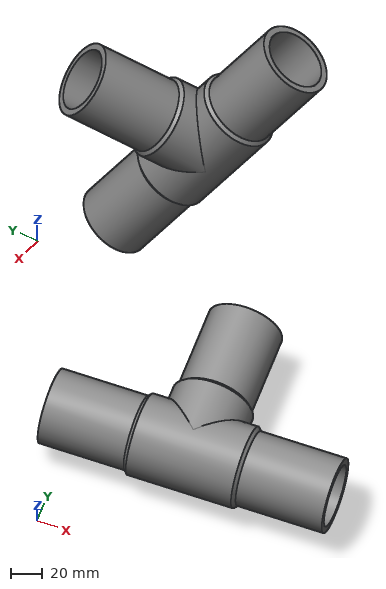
import cadquery as cq

run_length = 192.0
branch_length = 97.0
pipe_diameter = 50.0
bore_diameter = 41.0
collar_diameter = 54.5
run_collar_reach = 37.8
branch_collar_reach = 39.2

collar_chamfer = (collar_diameter - pipe_diameter) / 2


def run_cylinder(diameter, length):
    """Cylinder along X, centred on the origin."""
    return cq.Workplane("YZ").circle(diameter / 2).extrude(length / 2, both=True)


def branch_cylinder(diameter, length):
    """Cylinder from the origin along +Y."""
    return cq.Workplane("XZ").circle(diameter / 2).extrude(-length)


run_collar = run_cylinder(collar_diameter, 2 * run_collar_reach).edges("%CIRCLE").chamfer(collar_chamfer)
branch_collar = branch_cylinder(collar_diameter, branch_collar_reach).faces(">Y").edges().chamfer(collar_chamfer)

run_pipe = run_cylinder(pipe_diameter, run_length)
branch_pipe = branch_cylinder(pipe_diameter, branch_length)

run_bore = run_cylinder(bore_diameter, run_length)
branch_bore = branch_cylinder(bore_diameter, branch_length)

outside = run_collar.union(branch_collar).union(run_pipe).union(branch_pipe)
result = outside.cut(run_bore).cut(branch_bore)